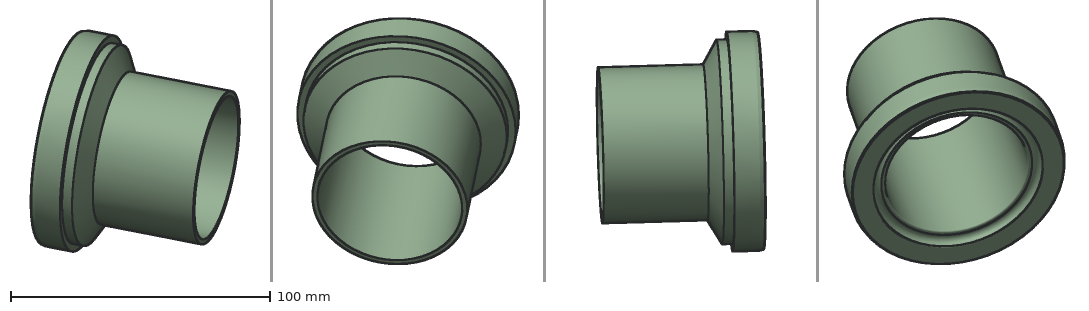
import cadquery as cq
import math

LENGTH = 62.0

FLANGE_RADIUS = 42.45
FLANGE_WIDTH = 12.05
RIM_STEP = 0.4
RIM_WIDTH = 2.0
RIM_CHAMFER = 0.3
SHOULDER_RADIUS = 79.0 / 2
SHOULDER_END = 16.05
CONE_END = 21.5
TUBE_RADIUS = 60.3 / 2

BORE_RADIUS = 56.3 / 2
LIP_ROUND = 0.7
GROOVE_ROUND = 0.5
GROOVE_OUTER_RADIUS = 33.45
GROOVE_INNER_RADIUS = 29.8
GROOVE_ARC_RADIUS = 2.2
GROOVE_CENTER_RADIUS = 31.8


def groove_half_chord(radius):
    """Axial distance from the groove arc's center to the arc at a given radius."""
    return math.sqrt(GROOVE_ARC_RADIUS**2 - (radius - GROOVE_CENTER_RADIUS) ** 2)


GROOVE_CENTER_DEPTH = GROOVE_ROUND + groove_half_chord(GROOVE_OUTER_RADIUS)
LIP_DEPTH = GROOVE_CENTER_DEPTH + groove_half_chord(GROOVE_INNER_RADIUS)

DIAGONAL = math.sqrt(0.5)


def make_profile():
    """Half section, with X along the axis and Y as the radius."""
    rim_radius = FLANGE_RADIUS - RIM_STEP
    groove_bottom = GROOVE_CENTER_DEPTH + GROOVE_ARC_RADIUS
    round_middle = GROOVE_ROUND * (1 - DIAGONAL)
    lip_middle = LIP_ROUND * (1 - DIAGONAL)

    outside = (
        cq.Workplane("XY")
        .moveTo(LENGTH, BORE_RADIUS)
        .lineTo(LENGTH, TUBE_RADIUS)
        .lineTo(CONE_END, TUBE_RADIUS)
        .lineTo(SHOULDER_END, SHOULDER_RADIUS)
        .lineTo(FLANGE_WIDTH, SHOULDER_RADIUS)
        .lineTo(FLANGE_WIDTH, FLANGE_RADIUS)
        .lineTo(RIM_WIDTH, FLANGE_RADIUS)
        .lineTo(RIM_CHAMFER, rim_radius)
        .lineTo(0, rim_radius - RIM_CHAMFER)
    )
    return (
        outside
        .lineTo(0, GROOVE_OUTER_RADIUS + GROOVE_ROUND)
        .threePointArc(
            (round_middle, GROOVE_OUTER_RADIUS + round_middle),
            (GROOVE_ROUND, GROOVE_OUTER_RADIUS),
        )
        .threePointArc((groove_bottom, GROOVE_CENTER_RADIUS), (LIP_DEPTH, GROOVE_INNER_RADIUS))
        .lineTo(LIP_DEPTH, BORE_RADIUS + LIP_ROUND)
        .threePointArc(
            (LIP_DEPTH + lip_middle, BORE_RADIUS + lip_middle),
            (LIP_DEPTH + LIP_ROUND, BORE_RADIUS),
        )
        .close()
    )


result = make_profile().revolve(360, (0, 0, 0), (1, 0, 0))